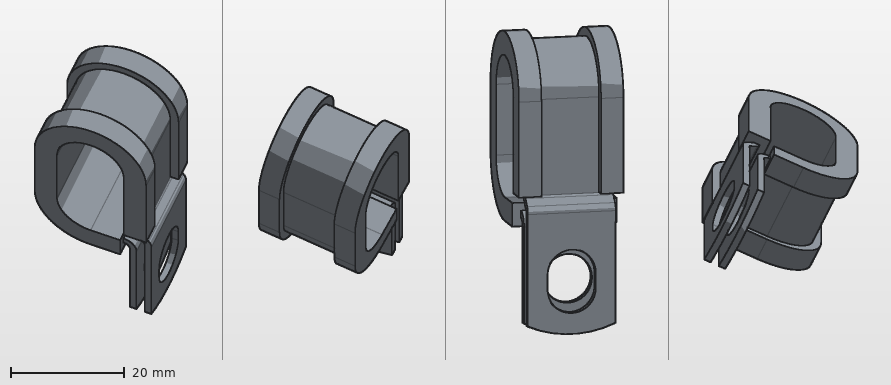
import cadquery as cq
import math

inner_radius = 6.35
cushion_thickness = 4.25
outer_radius = inner_radius + cushion_thickness
bend_spacing = 12.7
cushion_width = 18.95
right_leg_end_z = -4.45
bottom_arm_end_x = 5.7

groove_depth = 1.6
groove_width = 10.8
band_outer_radius = outer_radius - groove_depth

band_thickness = 1.25
band_inner_radius = band_outer_radius - band_thickness
tab_width = 15.9
tab_bottom_z = -29.3
tab_end_rise = 1.7
left_bend_radius = 1.2
jog_radius = 0.65
jog_angle = math.radians(45)
right_tab_outer_x = 11.0
hole_diameter = 8.75
hole_z = -19.85
slot_length = 11.35


def extrude_centred(sketch, width):
    """Extrude an XZ outline symmetrically about Y = 0."""
    return sketch.extrude(width / 2, both=True)


def loop_layer(inside, outside, width):
    """Layer of the open loop between two bend radii; the lower bend centre is the origin."""
    sketch = (
        cq.Workplane("XZ")
        .moveTo(outside, right_leg_end_z)
        .lineTo(outside, bend_spacing)
        .threePointArc((0, bend_spacing + outside), (-outside, bend_spacing))
        .lineTo(-outside, 0)
        .radiusArc((0, -outside), -outside)
        .lineTo(bottom_arm_end_x, -outside)
        .lineTo(bottom_arm_end_x, -inside)
        .lineTo(0, -inside)
        .radiusArc((-inside, 0), inside)
        .lineTo(-inside, bend_spacing)
        .threePointArc((0, bend_spacing + inside), (inside, bend_spacing))
        .lineTo(inside, right_leg_end_z)
        .close()
    )
    return extrude_centred(sketch, width)


def left_tab():
    """Tab that turns down a quarter circle from the end of the bottom arm."""
    outside_bend = left_bend_radius + band_thickness
    bend_z = -band_inner_radius - outside_bend
    inner_x = bottom_arm_end_x + left_bend_radius
    outer_x = bottom_arm_end_x + outside_bend
    sketch = (
        cq.Workplane("XZ")
        .moveTo(bottom_arm_end_x, -band_inner_radius)
        .radiusArc((outer_x, bend_z), outside_bend)
        .lineTo(outer_x, tab_bottom_z)
        .lineTo(inner_x, tab_bottom_z)
        .lineTo(inner_x, bend_z)
        .radiusArc((bottom_arm_end_x, -band_outer_radius), -left_bend_radius)
        .close()
    )
    return extrude_centred(sketch, tab_width)


def right_tab():
    """Tab that jogs outward below the right leg through two equal, opposite bends."""
    wide_radius = jog_radius + band_thickness
    across = 1 - math.cos(jog_angle)
    down = math.sin(jog_angle)
    offset = right_tab_outer_x - band_outer_radius
    jog_run = offset - (jog_radius + wide_radius) * across
    jog_drop = (jog_radius + wide_radius) * down + jog_run / math.tan(jog_angle)
    straight_z = right_leg_end_z - jog_drop
    right_tab_inner_x = right_tab_outer_x - band_thickness
    sketch = (
        cq.Workplane("XZ")
        .moveTo(band_outer_radius, right_leg_end_z)
        .radiusArc((band_outer_radius + jog_radius * across, right_leg_end_z - jog_radius * down), -jog_radius)
        .lineTo(right_tab_outer_x - wide_radius * across, straight_z + wide_radius * down)
        .radiusArc((right_tab_outer_x, straight_z), wide_radius)
        .lineTo(right_tab_outer_x, tab_bottom_z)
        .lineTo(right_tab_inner_x, tab_bottom_z)
        .lineTo(right_tab_inner_x, straight_z)
        .radiusArc((right_tab_inner_x - jog_radius * across, straight_z + jog_radius * down), -jog_radius)
        .lineTo(band_inner_radius + wide_radius * across, right_leg_end_z - wide_radius * down)
        .radiusArc((band_inner_radius, right_leg_end_z), wide_radius)
        .close()
    )
    return extrude_centred(sketch, tab_width)


def tab_outline():
    """Prism along X that rounds the lower ends of both tabs."""
    half_width = tab_width / 2
    corner_z = tab_bottom_z + tab_end_rise
    return (
        cq.Workplane("YZ")
        .moveTo(-half_width, 0)
        .lineTo(-half_width, corner_z)
        .threePointArc((0, tab_bottom_z), (half_width, corner_z))
        .lineTo(half_width, 0)
        .close()
        .extrude(outer_radius * 2)
    )


cushion = loop_layer(inner_radius, outer_radius, cushion_width)
groove = loop_layer(band_outer_radius, outer_radius, groove_width)
hole_plane = cq.Workplane("YZ").center(0, hole_z)
bolt_hole = hole_plane.circle(hole_diameter / 2).extrude(outer_radius * 2)
bolt_slot = hole_plane.slot2D(slot_length, hole_diameter, 90).extrude(outer_radius * 2)
tabs = left_tab().cut(bolt_hole).union(right_tab().cut(bolt_slot)).intersect(tab_outline())

result = cushion.cut(groove).union(tabs)